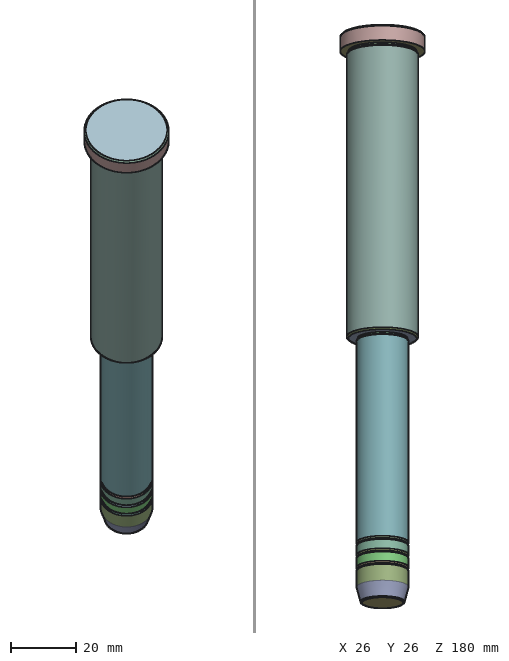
import cadquery as cq

total_length = 180.0

head_diameter = 26.0
head_height = 5.0
head_chamfer = 0.5

body_diameter = 22.0
body_length = 91.0
body_chamfer = 0.5

neck_length = 0.5
body_neck_depth = 0.5
shank_neck_depth = 0.4

shank_diameter = 16.0
groove_width = 1.0
groove_depth = 0.4
groove_pitch = 4.0
groove_count = 3
lowest_groove_z = 10.6

lead_length = 5.0
lead_tip_diameter = 13.3
tip_chamfer = 0.4

head_bottom_z = total_length - head_height
body_bottom_z = head_bottom_z - body_length


def revolve_profile(points):
    """Revolve a closed (radius, z) outline about the Z axis."""
    return cq.Workplane("XZ").polyline(points).close().revolve(360, (0, 0, 0), (0, 1, 0))


def make_head():
    head = cq.Workplane("XY").workplane(offset=head_bottom_z).circle(head_diameter / 2).extrude(head_height)
    return head.faces(">Z").edges().chamfer(head_chamfer)


def make_body():
    """Body with a chamfered lower rim and a neck that slopes out to full diameter."""
    radius = body_diameter / 2
    neck_radius = radius - body_neck_depth
    neck_bottom_z = head_bottom_z - neck_length
    return revolve_profile([
        (0, body_bottom_z),
        (radius - body_chamfer, body_bottom_z),
        (radius, body_bottom_z + body_chamfer),
        (radius, neck_bottom_z - body_neck_depth),
        (neck_radius, neck_bottom_z),
        (neck_radius, head_bottom_z),
        (0, head_bottom_z),
    ])


def make_shank():
    """Shank with a relief neck under the body and a tapered lead-in."""
    radius = shank_diameter / 2
    neck_radius = radius - shank_neck_depth
    neck_bottom_z = body_bottom_z - neck_length
    tip_radius = lead_tip_diameter / 2
    shank = revolve_profile([
        (0, 0),
        (tip_radius, 0),
        (radius, lead_length),
        (radius, neck_bottom_z - shank_neck_depth),
        (neck_radius, neck_bottom_z),
        (neck_radius, body_bottom_z),
        (0, body_bottom_z),
    ])
    return shank.faces("<Z").edges().chamfer(tip_chamfer)


def groove_cutter(center_z):
    """Ring with a triangular section that cuts one V groove into the shank."""
    radius = shank_diameter / 2
    return revolve_profile([
        (radius, center_z - groove_width / 2),
        (radius, center_z + groove_width / 2),
        (radius - groove_depth, center_z),
    ])


shank = make_shank()
for i in range(groove_count):
    shank = shank.cut(groove_cutter(lowest_groove_z + i * groove_pitch))

result = make_head().union(make_body()).union(shank)